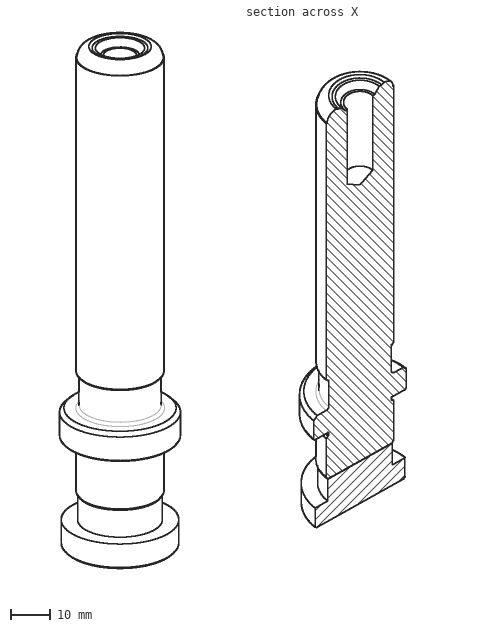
import cadquery as cq
import math

foot_flange_radius = 30.1 / 2
foot_flange_height = 7.1
foot_edge_chamfer = 0.5
foot_collar_radius = 21.7 / 2
foot_height = 14.7

pin_radius = 22.5 / 2
neck_radius = 10.5
pin_top = 140.0
pin_edge_chamfer = 0.5
nose_radius = 11.0
nose_fillet = 3.1
fit_top = 29.4
shaft_bottom = 48.3

collar_radius = 31.0 / 2
collar_bottom = 30.4
collar_top = 38.5
collar_top_chamfer = 1.1
collar_bottom_chamfer = 0.4
neck_fillet = 0.8

mouth_radius = nose_radius - nose_fillet
recess_radius = 7.1
mouth_depth = 0.4
countersink_radius = 6.3
countersink_floor_radius = 4.9
countersink_depth = 2.4
drill_radius = 4.2
drill_depth = 28.0
drill_tip_angle = 118.0


def build_foot():
    """Flange with a plain collar that carries the pin."""
    flange = (
        cq.Workplane("XY")
        .circle(foot_flange_radius)
        .extrude(foot_flange_height)
        .faces("<Z")
        .chamfer(foot_edge_chamfer)
    )
    collar = cq.Workplane("XY").circle(foot_collar_radius).extrude(foot_height)
    return flange.union(collar)


def build_pin_blank():
    """Solid turned pin: fitting length, neck, collar, neck and shaft."""
    nose_base = pin_top - nose_fillet
    edge_radius = pin_radius - pin_edge_chamfer
    arc_offset = nose_fillet * math.sqrt(0.5)
    arc_middle = (mouth_radius + arc_offset, nose_base + arc_offset)
    return (
        cq.Workplane("XZ")
        .moveTo(0, foot_height)
        .lineTo(edge_radius, foot_height)
        .lineTo(pin_radius, foot_height + pin_edge_chamfer)
        .lineTo(pin_radius, fit_top - pin_edge_chamfer)
        .lineTo(edge_radius, fit_top)
        .lineTo(neck_radius, fit_top)
        .lineTo(neck_radius, collar_bottom)
        .lineTo(collar_radius - collar_bottom_chamfer, collar_bottom)
        .lineTo(collar_radius, collar_bottom + collar_bottom_chamfer)
        .lineTo(collar_radius, collar_top - collar_top_chamfer)
        .lineTo(collar_radius - collar_top_chamfer, collar_top)
        .lineTo(neck_radius + neck_fillet, collar_top)
        .radiusArc((neck_radius, collar_top + neck_fillet), neck_fillet)
        .lineTo(neck_radius, shaft_bottom)
        .lineTo(edge_radius, shaft_bottom)
        .lineTo(pin_radius, shaft_bottom + pin_edge_chamfer)
        .lineTo(pin_radius, nose_base)
        .lineTo(nose_radius, nose_base)
        .threePointArc(arc_middle, (mouth_radius, pin_top))
        .lineTo(0, pin_top)
        .close()
        .revolve(360, (0, 0), (0, 1))
    )


def build_top_hole():
    """Stepped blind hole with a chamfered mouth, a countersink and a drill tip."""
    tip_length = drill_radius / math.tan(math.radians(drill_tip_angle / 2))
    return (
        cq.Workplane("XZ")
        .moveTo(0, pin_top)
        .lineTo(mouth_radius, pin_top)
        .lineTo(recess_radius, pin_top - mouth_depth)
        .lineTo(countersink_radius, pin_top - mouth_depth)
        .lineTo(countersink_floor_radius, pin_top - countersink_depth)
        .lineTo(drill_radius, pin_top - countersink_depth)
        .lineTo(drill_radius, pin_top - drill_depth)
        .lineTo(0, pin_top - drill_depth - tip_length)
        .close()
        .revolve(360, (0, 0), (0, 1))
    )


foot = build_foot()
pin = build_pin_blank().cut(build_top_hole())

result = cq.Compound.makeCompound([foot.val(), pin.val()])